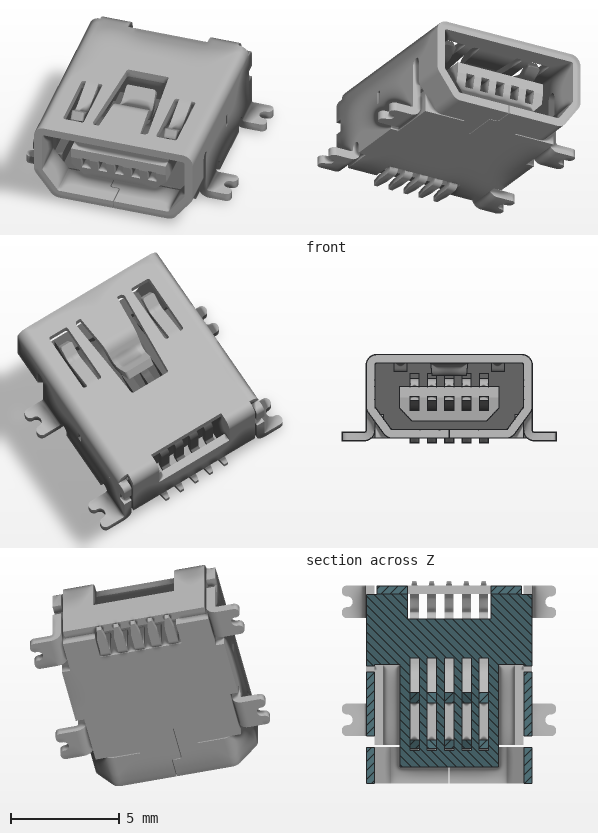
import cadquery as cq
import math


SHEET = 0.4
SHELL_WIDTH = 7.68
SHELL_HEIGHT = 3.87
SHELL_LENGTH = 9.15
HALF_WIDTH = SHELL_WIDTH / 2
INNER_HALF_WIDTH = HALF_WIDTH - SHEET
INNER_TOP = SHELL_HEIGHT - SHEET
SHEET_MID_TOP = SHELL_HEIGHT - SHEET / 2
BEND_INNER = 0.1
BEND_OUTER = BEND_INNER + SHEET

MOUTH_DEPTH = 1.7
MOUTH_SIDE_CORNER_Z = 1.325
MOUTH_FLOOR_CORNER_X = 2.87
FLAP_HALF_WIDTH = 1.36
FLAP_END_Y = 2.8
SEAM_WIDTH = 0.04
SEAM_STRAIGHT = 0.9
SEAM_SHIFT = 0.45
SEAM_RADIUS = 0.1

WALL_SLOT_WIDTH = 0.5
WALL_START_Y = MOUTH_DEPTH + WALL_SLOT_WIDTH
WALL_SLOT_TOP = 2.69
RELIEF_TOP = 0.65
RIB_SLOT_BOTTOM = 1.79
RIB_SLOT_TOP = 2.4
RIB_SLOT_START_Y = 5.19
WALL_CORNER_RADIUS = 0.25

FOOT_TIP_X = 4.95
FOOT_WIDTH = 1.5
FOOT_NOTCH_RADIUS = FOOT_WIDTH / 6
FOOT_LOBE_RADIUS = 0.23
FOOT_BOTTOM = -0.12
FOOT_BEND_INNER = 0.09
FOOT_BEND_TOP = FOOT_BOTTOM + SHEET + FOOT_BEND_INNER
FRONT_FOOT_Y = WALL_START_Y
REAR_FOOT_Y = SHELL_LENGTH - FOOT_WIDTH

BACK_WALL_HALF_WIDTH = 3.34
BACK_WALL_BOTTOM = 0.4
BACK_WALL_INNER_Y = SHELL_LENGTH - SHEET
BACK_BEND_START_Y = SHELL_LENGTH - BEND_OUTER
BACK_NOTCH_HALF_WIDTH = 1.92
BACK_NOTCH_START_Y = 8.44
BACK_NOTCH_BOTTOM = 2.0
BACK_NOTCH_X = (-BACK_NOTCH_HALF_WIDTH, BACK_NOTCH_HALF_WIDTH)

LATCH_ROOT_Y = 0.97
LATCH_WINDOW_END_Y = 5.39
LATCH_WINDOW_END_HALF = 1.0
LATCH_WINDOW_ROOT_HALF = 1.35
LATCH_ROOT_HALF = 1.0
LATCH_TIP_HALF = 0.68
LATCH_TIP_Y = 4.62
SPRING_TIP_RADIUS = 0.1
LATCH_BEND_Y = 2.5
LATCH_DOWN_ANGLE = 45
LATCH_UP_ANGLE = 42.5
LATCH_CROWN_RADIUS = 0.79
LATCH_VALLEY_RADIUS = 0.41
LATCH_DOWN_RUN = 0.23
LATCH_UP_RUN = 0.49

SIDE_SPRING_X = 2.25
SIDE_WINDOW_WIDTH = 1.0
SIDE_WINDOW_END_Y = 3.97
SIDE_SPRING_WIDTH = 0.6
SIDE_SPRING_DOWN_ANGLE = 15.5
SIDE_SPRING_UP_ANGLE = 33
SIDE_SPRING_ROOT_RUN = 0.19
SIDE_SPRING_DOWN_RUN = 1.28
SIDE_SPRING_VALLEY_RADIUS = 0.39
SIDE_SPRING_UP_RUN = 0.5
WINDOW_CORNER = 0.1

BODY_FRONT_Y = 5.5
BASE_FRONT_Y = 1.78
BASE_HEIGHT = SHEET
CHEEK_INNER_X = 3.04
CHEEK_HEIGHT = 1.09
RIB_START_Y = 5.43
TONGUE_FRONT_Y = 0.78
TONGUE_HALF_WIDTH = 2.29
TONGUE_FLAT_HALF_WIDTH = 1.72
TONGUE_TOP = 2.38
TONGUE_CHAMFER_TOP = 1.39
TONGUE_BOTTOM = 0.79
TONGUE_BAR_BOTTOM = 1.87
TONGUE_BAR_BACK_Y = 1.55
TONGUE_SLOPE_END_Y = 1.04
SLOT_FRONT_TOP = 1.92
SLOT_BACK_TOP = 2.98
SLOT_END_Y = 5.8

PIN_COUNT = 5
PIN_PITCH = 0.8
PIN_WIDTH = 0.42
PIN_SHEET = 0.25
PIN_TAIL_TIP_WIDTH = 0.2
PIN_TAIL_END_Y = 9.36
PIN_BOTTOM = -0.21
PIN_RUN_BOTTOM = 1.28
PIN_BEND_RADIUS = 0.175
PIN_RISER_Y = 7.8
PIN_RISE_ANGLE = 29.5
PIN_FALL_ANGLE = 37.5
PIN_FOOT_CURVE_RADIUS = 1.5
PIN_CROWN_RADIUS = 0.8
PIN_CROWN_Y = 2.8
PIN_CROWN_TOP = 2.75
PIN_TIP_Y = 1.62

BODY_BACK_Y = PIN_RISER_Y - PIN_BEND_RADIUS


def sin(angle):
    return math.sin(math.radians(angle))


def cos(angle):
    return math.cos(math.radians(angle))


def block(x_range, y_range, z_range):
    """Box between the given limits."""
    (x0, x1), (y0, y1), (z0, z1) = x_range, y_range, z_range
    return cq.Workplane("XY").box(x1 - x0, y1 - y0, z1 - z0, centered=False).translate((x0, y0, z0))


def both_sides(shape):
    """The shape together with its mirror image across X = 0."""
    return shape.union(shape.mirror("YZ"))


def bent_strip(plane, start, heading, steps, thickness, width):
    """Sheet of constant thickness that follows straight and curved steps, centred on the plane.

    A step is ("line", length) or ("arc", centreline radius, turn angle), a left turn being positive.
    """
    u, v = start
    half = thickness / 2

    def edge_points():
        across = (half * sin(heading), half * cos(heading))
        return (u - across[0], v + across[1]), (u + across[0], v - across[1])

    left_start, right_end = edge_points()
    left_stretches = []
    right_stretches = []
    for kind, *sizes in steps:
        if kind == "line":
            u += sizes[0] * cos(heading)
            v += sizes[0] * sin(heading)
            left_middle = right_middle = None
        else:
            radius, turn = sizes
            half_chord = 2 * radius * sin(abs(turn) / 4)
            u += half_chord * cos(heading + turn / 4)
            v += half_chord * sin(heading + turn / 4)
            heading += turn / 2
            left_middle, right_middle = edge_points()
            u += half_chord * cos(heading + turn / 4)
            v += half_chord * sin(heading + turn / 4)
            heading += turn / 2
        right_start = right_end
        left_end, right_end = edge_points()
        left_stretches.append((left_middle, left_end))
        right_stretches.append((right_middle, right_start))

    right_stretches.append((None, right_end))
    outline = cq.Workplane(plane).moveTo(*left_start)
    for middle, end in left_stretches + right_stretches[::-1]:
        outline = outline.threePointArc(middle, end) if middle else outline.lineTo(*end)
    return outline.close().extrude(width / 2, both=True)


def mouth():
    """Closed ring at the front, with slanted lower corners."""
    ring = (
        cq.Workplane("XZ")
        .polyline([
            (-HALF_WIDTH, SHELL_HEIGHT),
            (HALF_WIDTH, SHELL_HEIGHT),
            (HALF_WIDTH, MOUTH_SIDE_CORNER_Z),
            (MOUTH_FLOOR_CORNER_X, 0),
            (-MOUTH_FLOOR_CORNER_X, 0),
            (-HALF_WIDTH, MOUTH_SIDE_CORNER_Z),
        ])
        .close()
        .extrude(-MOUTH_DEPTH)
        .edges("|Y")
        .fillet(BEND_OUTER)
    )
    opening = ring.faces("<Y").wires().toPending().offset2D(-SHEET).extrude(-MOUTH_DEPTH, combine=False)
    flap = block((-FLAP_HALF_WIDTH, FLAP_HALF_WIDTH), (MOUTH_DEPTH, FLAP_END_Y), (0, SHEET))
    return ring.cut(opening).union(flap).cut(floor_seam())


def floor_seam():
    """Thin S-shaped slit where the two edges of the sheet meet in the floor."""
    shift = SEAM_SHIFT - 2 * SEAM_RADIUS
    steps = [
        ("line", SEAM_STRAIGHT),
        ("arc", SEAM_RADIUS, 90),
        ("line", shift),
        ("arc", SEAM_RADIUS, -90),
        ("line", FLAP_END_Y),
    ]
    return bent_strip("XY", (0, 0), 90, steps, SEAM_WIDTH, 3 * SHEET)


def rounded_slot(y_start, top):
    """Cutter for a round-topped slot that opens at the bottom of the left wall."""
    radius = WALL_SLOT_WIDTH / 2
    x_range = (-HALF_WIDTH - SHEET, -INNER_HALF_WIDTH)
    straight = block(x_range, (y_start, y_start + WALL_SLOT_WIDTH), (-SHEET, top - radius))
    end = (
        cq.Workplane("YZ", origin=(x_range[0], 0, 0))
        .center(y_start + radius, top - radius)
        .circle(radius)
        .extrude(x_range[1] - x_range[0])
    )
    return straight.union(end)


def channel():
    """Top and side walls behind the mouth."""
    outer = (
        block((-HALF_WIDTH, HALF_WIDTH), (MOUTH_DEPTH, SHELL_LENGTH), (0, SHELL_HEIGHT))
        .edges("|Y and >Z")
        .fillet(BEND_OUTER)
    )
    walls = outer.cut(inner_block(MOUTH_DEPTH, SHELL_LENGTH + SHEET))

    outside = (-HALF_WIDTH - SHEET, -INNER_HALF_WIDTH)
    cutters = rounded_slot(MOUTH_DEPTH, WALL_SLOT_TOP)
    cutters = cutters.union(rounded_slot(FRONT_FOOT_Y + FOOT_WIDTH, RELIEF_TOP))
    cutters = cutters.union(rounded_slot(REAR_FOOT_Y - WALL_SLOT_WIDTH, RELIEF_TOP))
    for foot_y in (FRONT_FOOT_Y, REAR_FOOT_Y):
        cutters = cutters.union(block(outside, (foot_y, foot_y + FOOT_WIDTH), (-SHEET, FOOT_BEND_TOP)))
    cutters = cutters.union(
        block(outside, (RIB_SLOT_START_Y, SHELL_LENGTH), (RIB_SLOT_BOTTOM, RIB_SLOT_TOP))
    )
    walls = walls.cut(both_sides(cutters))

    bend_zone = block(
        (-HALF_WIDTH, HALF_WIDTH),
        (BACK_BEND_START_Y, SHELL_LENGTH),
        (SHELL_HEIGHT - BEND_OUTER, SHELL_HEIGHT),
    )
    walls = walls.cut(bend_zone)
    top_rear_corners = cq.selectors.BoxSelector(
        (-HALF_WIDTH, BACK_WALL_INNER_Y, INNER_TOP - SHEET),
        (HALF_WIDTH, SHELL_LENGTH + SHEET, INNER_TOP),
    )
    return walls.edges(top_rear_corners).edges("|X").edges(">Y").fillet(WALL_CORNER_RADIUS)


def inner_block(y_start, y_end):
    """Block that fits inside the top and side walls, with its top edges rounded at the sides and rear."""
    return (
        block((-INNER_HALF_WIDTH, INNER_HALF_WIDTH), (y_start, y_end), (0, INNER_TOP))
        .edges("(|Y or (|X and >Y)) and >Z")
        .fillet(BEND_INNER)
    )


def back_wall():
    """Rear end of the top, bent down behind the insulator."""
    steps = [
        ("arc", BEND_OUTER - SHEET / 2, -90),
        ("line", SHELL_HEIGHT - BEND_OUTER - BACK_WALL_BOTTOM),
    ]
    return bent_strip(
        "YZ", (BACK_BEND_START_Y, SHEET_MID_TOP), 0, steps, SHEET, 2 * BACK_WALL_HALF_WIDTH
    )


def foot(y_start):
    """Left solder foot: bends out from the wall and ends in two round lobes."""
    bend_radius = FOOT_BEND_INNER + SHEET / 2
    wall_middle = -HALF_WIDTH + SHEET / 2
    y_middle = y_start + FOOT_WIDTH / 2
    steps = [
        ("arc", bend_radius, -90),
        ("line", FOOT_TIP_X + wall_middle - bend_radius),
    ]
    strip = bent_strip("XZ", (wall_middle, FOOT_BEND_TOP), -90, steps, SHEET, FOOT_WIDTH)
    z_range = (FOOT_BOTTOM, SHELL_HEIGHT)
    notch_x = -FOOT_TIP_X + FOOT_NOTCH_RADIUS
    notch = block((-FOOT_TIP_X, notch_x), (-FOOT_NOTCH_RADIUS, FOOT_NOTCH_RADIUS), z_range)
    notch_end = (
        cq.Workplane("XY", origin=(notch_x, 0, FOOT_BOTTOM))
        .circle(FOOT_NOTCH_RADIUS)
        .extrude(SHELL_HEIGHT - FOOT_BOTTOM)
    )
    plan = block((-FOOT_TIP_X, 0), (-FOOT_WIDTH / 2, FOOT_WIDTH / 2), z_range).cut(notch).cut(notch_end)
    plan = plan.faces("<X").edges("|Z").fillet(FOOT_LOBE_RADIUS)
    return strip.intersect(plan).translate((0, y_middle, 0))


def round_tip(spring, end_y, half_width):
    """Round the two corners of the free end, whose middle lies at end_y."""
    margin = SPRING_TIP_RADIUS / 2
    near_end = cq.selectors.BoxSelector(
        (-half_width - margin, end_y - margin, 0),
        (half_width + margin, end_y + margin, SHELL_HEIGHT),
    )
    return spring.edges(near_end).edges("not |X").fillet(SPRING_TIP_RADIUS)


def latch_window():
    """Cutter for the tapered opening around the central latch."""
    half_root = LATCH_WINDOW_ROOT_HALF
    half_end = LATCH_WINDOW_END_HALF
    return (
        cq.Workplane("XY", origin=(0, 0, INNER_TOP))
        .polyline([
            (-half_root, LATCH_ROOT_Y),
            (half_root, LATCH_ROOT_Y),
            (half_end, LATCH_WINDOW_END_Y),
            (-half_end, LATCH_WINDOW_END_Y),
        ])
        .close()
        .extrude(SHEET)
        .edges("|Z and >Y")
        .fillet(WINDOW_CORNER)
        .edges("|Z and <Y")
        .fillet((LATCH_WINDOW_ROOT_HALF - LATCH_ROOT_HALF) / 2)
    )


def latch():
    """Central latch: a tapered spring that dips and turns up at its free end."""
    steps = [
        ("line", LATCH_BEND_Y - LATCH_ROOT_Y),
        ("arc", LATCH_CROWN_RADIUS - SHEET / 2, -LATCH_DOWN_ANGLE),
        ("line", LATCH_DOWN_RUN / cos(LATCH_DOWN_ANGLE)),
        ("arc", LATCH_VALLEY_RADIUS + SHEET / 2, LATCH_DOWN_ANGLE + LATCH_UP_ANGLE),
        ("line", LATCH_UP_RUN / cos(LATCH_UP_ANGLE)),
    ]
    strip = bent_strip("YZ", (LATCH_ROOT_Y, SHEET_MID_TOP), 0, steps, SHEET, 2 * LATCH_ROOT_HALF)
    plan = (
        cq.Workplane("XY")
        .polyline([
            (-LATCH_ROOT_HALF, LATCH_ROOT_Y),
            (LATCH_ROOT_HALF, LATCH_ROOT_Y),
            (LATCH_TIP_HALF, LATCH_TIP_Y),
            (-LATCH_TIP_HALF, LATCH_TIP_Y),
        ])
        .close()
        .extrude(SHELL_HEIGHT + SHEET)
    )
    end_y = LATCH_TIP_Y - SHEET * sin(LATCH_UP_ANGLE) / 2
    return round_tip(strip.intersect(plan), end_y, LATCH_TIP_HALF)


def side_window():
    """Cutter for the opening around the left side spring."""
    half = SIDE_WINDOW_WIDTH / 2
    return (
        block(
            (-SIDE_SPRING_X - half, -SIDE_SPRING_X + half),
            (LATCH_ROOT_Y, SIDE_WINDOW_END_Y),
            (INNER_TOP, SHELL_HEIGHT),
        )
        .edges("|Z")
        .fillet(WINDOW_CORNER)
    )


def side_spring():
    """Left side spring: slopes down from its rear root and turns up at the front."""
    root_radius = SIDE_SPRING_ROOT_RUN / sin(SIDE_SPRING_DOWN_ANGLE)
    steps = [
        ("arc", root_radius - SHEET / 2, SIDE_SPRING_DOWN_ANGLE),
        ("line", SIDE_SPRING_DOWN_RUN / cos(SIDE_SPRING_DOWN_ANGLE)),
        ("arc", SIDE_SPRING_VALLEY_RADIUS + SHEET / 2, -SIDE_SPRING_DOWN_ANGLE - SIDE_SPRING_UP_ANGLE),
        ("line", SIDE_SPRING_UP_RUN / cos(SIDE_SPRING_UP_ANGLE)),
    ]
    strip = bent_strip("YZ", (SIDE_WINDOW_END_Y, SHEET_MID_TOP), 180, steps, SHEET, SIDE_SPRING_WIDTH)
    end_y = strip.val().BoundingBox().ymin + SHEET * sin(SIDE_SPRING_UP_ANGLE) / 2
    return round_tip(strip, end_y, SIDE_SPRING_WIDTH / 2).translate((-SIDE_SPRING_X, 0, 0))


def build_shell():
    shell = mouth().union(channel()).union(back_wall())
    notch = block(BACK_NOTCH_X, (BACK_NOTCH_START_Y, SHELL_LENGTH), (BACK_NOTCH_BOTTOM, SHELL_HEIGHT))
    shell = shell.cut(notch)
    shell = shell.cut(latch_window()).cut(both_sides(side_window()))
    shell = shell.union(latch()).union(both_sides(side_spring()))
    for foot_y in (FRONT_FOOT_Y, REAR_FOOT_Y):
        shell = shell.union(both_sides(foot(foot_y)))
    return shell


def build_pin(x):
    """Contact: tapered solder tail, riser, straight run and an arched spring end."""
    half = PIN_SHEET / 2
    foot_curve = PIN_FOOT_CURVE_RADIUS + half
    crown = PIN_CROWN_RADIUS - half
    tail_middle = PIN_BOTTOM + half
    run_middle = PIN_RUN_BOTTOM + half
    rise = PIN_CROWN_TOP - half - run_middle - (foot_curve + crown) * (1 - cos(PIN_RISE_ANGLE))
    slope_length = rise / sin(PIN_RISE_ANGLE)
    spring_reach = (foot_curve + crown) * sin(PIN_RISE_ANGLE) + slope_length * cos(PIN_RISE_ANGLE)
    steps = [
        ("line", PIN_TAIL_END_Y - PIN_RISER_Y - PIN_BEND_RADIUS),
        ("arc", PIN_BEND_RADIUS, -90),
        ("line", run_middle - tail_middle - 2 * PIN_BEND_RADIUS),
        ("arc", PIN_BEND_RADIUS, 90),
        ("line", PIN_RISER_Y - PIN_BEND_RADIUS - PIN_CROWN_Y - spring_reach),
        ("arc", foot_curve, -PIN_RISE_ANGLE),
        ("line", slope_length),
        ("arc", crown, PIN_RISE_ANGLE + PIN_FALL_ANGLE),
        ("line", PIN_CROWN_Y - PIN_TIP_Y),
    ]
    strip = bent_strip("YZ", (PIN_TAIL_END_Y, tail_middle), 180, steps, PIN_SHEET, PIN_WIDTH)
    half_outline = [
        (PIN_WIDTH / 2, PIN_TIP_Y),
        (PIN_WIDTH / 2, BACK_WALL_INNER_Y),
        (PIN_TAIL_TIP_WIDTH / 2, PIN_TAIL_END_Y),
    ]
    other_half = [(-px, py) for px, py in reversed(half_outline)]
    plan = (
        cq.Workplane("XY", origin=(0, 0, PIN_BOTTOM))
        .polyline(half_outline + other_half)
        .close()
        .extrude(SHELL_HEIGHT)
    )
    return strip.intersect(plan).translate((x, 0, 0))


def tongue():
    """Tongue with chamfered lower edges and a front face that slopes back below the bar."""
    section = (
        cq.Workplane("XZ", origin=(0, TONGUE_FRONT_Y, 0))
        .polyline([
            (-TONGUE_HALF_WIDTH, TONGUE_TOP),
            (TONGUE_HALF_WIDTH, TONGUE_TOP),
            (TONGUE_HALF_WIDTH, TONGUE_CHAMFER_TOP),
            (TONGUE_FLAT_HALF_WIDTH, TONGUE_BOTTOM),
            (-TONGUE_FLAT_HALF_WIDTH, TONGUE_BOTTOM),
            (-TONGUE_HALF_WIDTH, TONGUE_CHAMFER_TOP),
        ])
        .close()
        .extrude(TONGUE_FRONT_Y - BODY_FRONT_Y)
    )
    slope = (
        cq.Workplane("YZ")
        .polyline([
            (TONGUE_FRONT_Y, TONGUE_BAR_BOTTOM),
            (TONGUE_FRONT_Y, TONGUE_BOTTOM),
            (TONGUE_SLOPE_END_Y, TONGUE_BOTTOM),
        ])
        .close()
        .extrude(TONGUE_HALF_WIDTH, both=True)
    )
    return section.cut(slope)


def contact_slot(x):
    """Cutter for the slot in which one contact springs."""
    x_range = (x - PIN_WIDTH / 2, x + PIN_WIDTH / 2)
    front = block(x_range, (TONGUE_FRONT_Y, TONGUE_BAR_BACK_Y), (PIN_RUN_BOTTOM, SLOT_FRONT_TOP))
    back = block(x_range, (TONGUE_BAR_BACK_Y, SLOT_END_Y), (PIN_RUN_BOTTOM, SLOT_BACK_TOP))
    return front.union(back)


def build_insulator(pins):
    body = inner_block(BODY_FRONT_Y, BACK_WALL_INNER_Y)
    back_recess = block(BACK_NOTCH_X, (BODY_BACK_Y, BACK_WALL_INNER_Y), (0, INNER_TOP))
    base_y = (BASE_FRONT_Y, BODY_FRONT_Y)
    base = block((-INNER_HALF_WIDTH, INNER_HALF_WIDTH), base_y, (0, BASE_HEIGHT))
    flap_recess = block((-FLAP_HALF_WIDTH, FLAP_HALF_WIDTH), (BASE_FRONT_Y, FLAP_END_Y), (0, BASE_HEIGHT))
    cheek = block((-INNER_HALF_WIDTH, -CHEEK_INNER_X), base_y, (0, CHEEK_HEIGHT))
    rib = block(
        (-HALF_WIDTH, -INNER_HALF_WIDTH),
        (RIB_START_Y, BACK_WALL_INNER_Y),
        (RIB_SLOT_BOTTOM, RIB_SLOT_TOP),
    )
    insulator = body.cut(back_recess).union(base.cut(flap_recess))
    insulator = insulator.union(both_sides(cheek)).union(both_sides(rib)).union(tongue())
    for x, pin in pins:
        insulator = insulator.cut(contact_slot(x)).cut(pin)
    return insulator


shell = build_shell()
pin_positions = [PIN_PITCH * (i - (PIN_COUNT - 1) / 2) for i in range(PIN_COUNT)]
pins = [(x, build_pin(x)) for x in pin_positions]
insulator = build_insulator(pins)

result = cq.Compound.makeCompound([
    shell.solids().val(),
    insulator.solids().val(),
    *[pin.solids().val() for x, pin in pins],
])